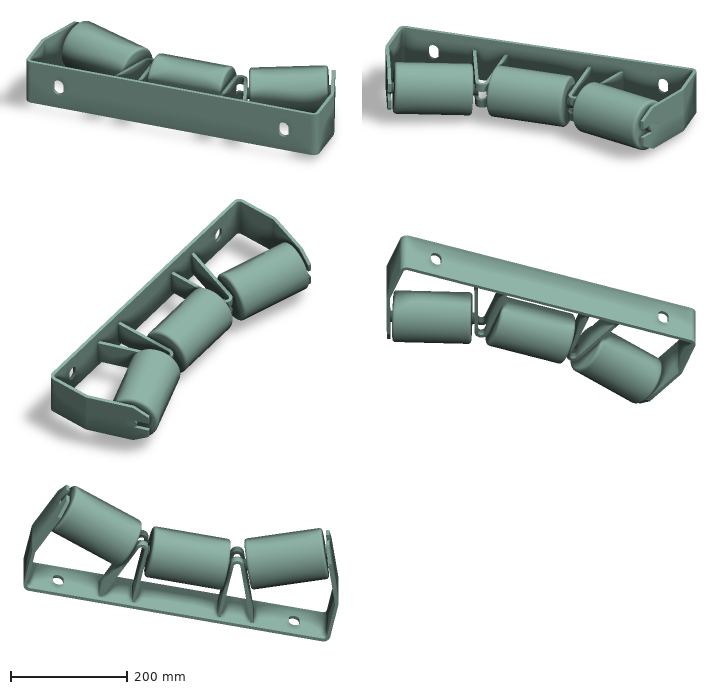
import cadquery as cq
import math

frame_length = 540.0
frame_height = 80.0
sheet = 6.0
inner_bend_radius = 6.0
outer_bend_radius = inner_bend_radius + sheet
splay_angle = 20.0
wing_bend_y = 82.0
wing_tip_y = 188.5
tip_chamfer_along = 28.0
tip_chamfer_height = 16.0

mount_slot_x = 208.0
mount_slot_width = 19.0
mount_slot_length = 27.5

bracket_height = 45.0
bracket_drop = 6.0
bracket_face_x = 72.5
bracket_top_y = 127.0

drum_diameter = 89.0
drum_length = 135.5
drum_fillet = 5.0
shaft_diameter = 20.0
shaft_flat_width = 16.0
middle_roller_y = 100.5
side_roller_along = 66.5
side_roller_drop = 2.5
side_roller_tilt = 2.5

splay = math.radians(splay_angle)
sin_splay = math.sin(splay)
cos_splay = math.cos(splay)
half_length = frame_length / 2
wing_tip_x = half_length - (wing_tip_y - wing_bend_y) * math.tan(splay)

bracket_bend_x = bracket_face_x + outer_bend_radius
bracket_bend_y = bracket_top_y - outer_bend_radius

wing_face_offset = -half_length * cos_splay - wing_bend_y * sin_splay + sheet
bracket_face_offset = -bracket_bend_x * cos_splay - bracket_bend_y * sin_splay - outer_bend_radius
side_span = bracket_face_offset - wing_face_offset
side_axial = (bracket_face_offset + wing_face_offset) / 2
side_shoulder_gap = shaft_diameter / 2 * math.sin(math.radians(side_roller_tilt))
middle_span = 2 * bracket_face_x


def place_left(body):
    """Turn a body from the side roller's level local axes to the left side of the part."""
    return body.translate((side_axial, side_roller_along, 0)).rotate((0, 0, 0), (0, 0, 1), -splay_angle)


def place_left_roller(body):
    """Place a body on the left roller's axis, which also dips towards the bracket."""
    tilted = body.rotate((0, 0, 0), (0, 1, 0), side_roller_tilt)
    return place_left(tilted.translate((0, 0, -side_roller_drop)))


def place_middle_roller(body):
    """Lower a body on the X axis to the middle roller's place."""
    return body.translate((0, middle_roller_y, -bracket_drop))


def with_mirror_image(body):
    return [body, body.mirror("YZ")]


def round_bar(diameter, length):
    """A cylinder along X, centred on the origin."""
    return cq.Workplane("YZ", origin=(-length / 2, 0, 0)).circle(diameter / 2).extrude(length)


def shaft_end_section(length):
    """A round bar along +X, cut to two flats facing +Z and -Z."""
    flat_bar = cq.Workplane("YZ").rect(shaft_diameter, shaft_flat_width).extrude(length)
    return flat_bar.intersect(round_bar(shaft_diameter, 2 * length))


def make_roller(span, shoulder_gap):
    """A roller along X, carried between two supports whose facing sides are `span` apart."""
    shoulder_x = span / 2 - shoulder_gap
    drum = round_bar(drum_diameter, drum_length).edges().fillet(drum_fillet)
    roller = drum.union(round_bar(shaft_diameter, 2 * shoulder_x))
    shaft_end = shaft_end_section(sheet + shoulder_gap).translate((shoulder_x, 0, 0))
    for end in with_mirror_image(shaft_end):
        roller = roller.union(end)
    return roller


def make_shaft_slots(span, shoulder_gap):
    """Cutters for the open-topped slots at the two ends of a roller's shaft."""
    depth = outer_bend_radius + shoulder_gap
    reach = wing_tip_y - middle_roller_y
    opening = cq.Workplane("YZ").center(reach / 2, 0).rect(reach, shaft_flat_width).extrude(depth)
    slot = shaft_end_section(depth).union(opening)
    return with_mirror_image(slot.translate((span / 2 - shoulder_gap, 0, 0)))


def extrude_level(outline, height):
    return outline.extrude(height / 2, both=True)


def make_channel():
    """The base strip with its bent-up sides and wings, as an outer block less an inner block."""
    tip_inner_x = wing_tip_x - sheet * cos_splay
    tip_inner_y = wing_tip_y - sheet * sin_splay
    inner_half = half_length - sheet
    inner_bend_y = wing_bend_y - sheet * math.tan(splay / 2)

    def block(left_points, bend_radius):
        right_points = [(-x, y) for x, y in reversed(left_points)]
        outline = cq.Workplane("XY").polyline(left_points + right_points).close()
        solid = extrude_level(outline, frame_height)
        bends = solid.edges("|Z").filter(lambda edge: edge.Center().y < wing_bend_y + sheet)
        return bends.fillet(bend_radius)

    outside = [
        (-tip_inner_x, tip_inner_y),
        (-wing_tip_x, wing_tip_y),
        (-half_length, wing_bend_y),
        (-half_length, 0),
    ]
    inside = [
        (-tip_inner_x, tip_inner_y),
        (-inner_half, inner_bend_y),
        (-inner_half, sheet),
    ]
    return block(outside, outer_bend_radius).cut(block(inside, inner_bend_radius))


def make_tip_chamfers():
    """Cutters for the sloping corners above and below each wing tip."""
    tip_along = wing_tip_y * cos_splay - wing_tip_x * sin_splay - side_roller_along
    corner = (
        cq.Workplane("YZ")
        .moveTo(tip_along, frame_height / 2)
        .lineTo(tip_along - tip_chamfer_along, frame_height / 2)
        .lineTo(tip_along, frame_height / 2 - tip_chamfer_height)
        .close()
        .extrude(outer_bend_radius, both=True)
        .translate((-side_span / 2, 0, 0))
    )
    return [
        cutter
        for level_corner in (corner, corner.mirror("XY"))
        for cutter in with_mirror_image(place_left(level_corner))
    ]


def make_left_bracket():
    """A strip folded over the top: one upright leg and one leg parallel to the wing."""

    def fold_point(radius, angle):
        return (
            -bracket_bend_x + radius * math.cos(angle),
            bracket_bend_y + radius * math.sin(angle),
        )

    def foot_of_slope(radius):
        x, y = fold_point(radius, math.pi - splay)
        return (x - (y - sheet) * math.tan(splay), sheet)

    outline = (
        cq.Workplane("XY")
        .moveTo(-bracket_face_x, sheet)
        .lineTo(*fold_point(outer_bend_radius, 0))
        .threePointArc(
            fold_point(outer_bend_radius, math.pi / 2),
            fold_point(outer_bend_radius, math.pi - splay),
        )
        .lineTo(*foot_of_slope(outer_bend_radius))
        .lineTo(*foot_of_slope(inner_bend_radius))
        .lineTo(*fold_point(inner_bend_radius, math.pi - splay))
        .threePointArc(fold_point(inner_bend_radius, math.pi / 2), fold_point(inner_bend_radius, 0))
        .lineTo(-bracket_face_x - sheet, sheet)
        .close()
    )
    return extrude_level(outline, bracket_height).translate((0, 0, -bracket_drop))


def make_mount_slots():
    return (
        cq.Workplane("XZ")
        .pushPoints([(-mount_slot_x, 0), (mount_slot_x, 0)])
        .slot2D(mount_slot_length, mount_slot_width, 90)
        .extrude(sheet, both=True)
    )


def make_frame():
    """The channel, its two brackets and the middle roller held fast between them."""
    frame = make_channel().cut(make_mount_slots())
    for chamfer in make_tip_chamfers():
        frame = frame.cut(chamfer)
    for bracket in with_mirror_image(make_left_bracket()):
        frame = frame.union(bracket, clean=False)
    for slot in make_shaft_slots(middle_span, 0):
        frame = frame.cut(place_middle_roller(slot))
    for slot in make_shaft_slots(side_span, side_shoulder_gap):
        for placed_slot in with_mirror_image(place_left_roller(slot)):
            frame = frame.cut(placed_slot)
    return frame.union(place_middle_roller(make_roller(middle_span, 0)), clean=False)


frame = make_frame()
side_rollers = with_mirror_image(place_left_roller(make_roller(side_span, side_shoulder_gap)))

result = cq.Compound.makeCompound(
    [*frame.solids().vals(), *[roller.val() for roller in side_rollers]]
)